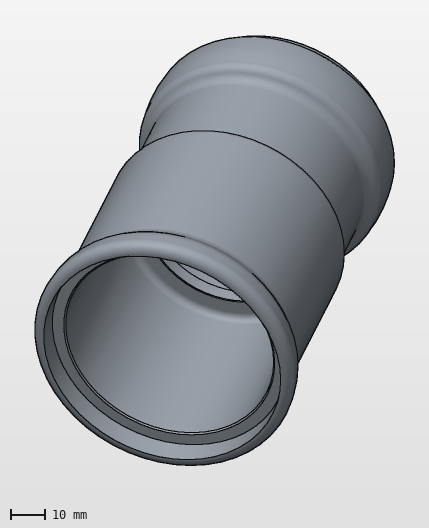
import cadquery as cq

length = 117.6

body_radius = 71.6 / 2
neck_radius = 66.1 / 2
bell_radius = 79.0 / 2
bell_edge_radius = 39.0
bell_flare_radius = 37.5
bell_face_radius = 36.5
bulge_radius = 74.5 / 2
bulge_edge_radius = 36.8
bulge_flare_radius = 35.0
collar_radius = 67.6 / 2
end_face_radius = 30.9

bell_crest = 3.2
bell_edge = 7.2
bell_flare = 10.2
body_start = 14.0
body_end = 63.3
neck_start = 68.1
neck_end = 91.3
bulge_flare = 94.7
bulge_start = 98.0
bulge_end = 110.0
bulge_shoulder = 112.3
collar_end = 114.7

mouth_radius = 72.0 / 2
mouth_bottom_radius = 35.5
mouth_depth = 6.9
socket_radius = 63.2 / 2
socket_chamfer = 0.5
socket_bottom = 64.7
socket_corner_radius = 58.8 / 2
stop_bore_radius = 50.0 / 2
stop_edge_chamfer = 0.2
stop_thickness = 4.7
narrow_socket_radius = 58.5 / 2


def outer_outline():
    """Half outline of the outside, from the axis at the mouth to the far end."""
    step_middle = ((body_radius + neck_radius) / 2, (body_end + neck_start) / 2)
    bulge_middle = (bulge_radius, (bulge_start + bulge_end) / 2)
    shoulder_radius = (bulge_edge_radius + collar_radius) / 2
    return (
        cq.Workplane("XY")
        .lineTo(bell_face_radius, 0)
        .tangentArcPoint((bell_radius, bell_crest), relative=False)
        .tangentArcPoint((bell_edge_radius, bell_edge), relative=False)
        .tangentArcPoint((bell_flare_radius, bell_flare), relative=False)
        .tangentArcPoint((body_radius, body_start), relative=False)
        .lineTo(body_radius, body_end)
        .tangentArcPoint(step_middle, relative=False)
        .tangentArcPoint((neck_radius, neck_start), relative=False)
        .lineTo(neck_radius, neck_end)
        .tangentArcPoint((bulge_flare_radius, bulge_flare), relative=False)
        .tangentArcPoint((bulge_edge_radius, bulge_start), relative=False)
        .threePointArc(bulge_middle, (bulge_edge_radius, bulge_end))
        .tangentArcPoint((shoulder_radius, bulge_shoulder), relative=False)
        .tangentArcPoint((collar_radius, collar_end), relative=False)
        .tangentArcPoint((end_face_radius, length), relative=False)
        .lineTo(0, length)
        .close()
    )


def inner_outline():
    """Half outline of the passage, from the mouth to the far end."""
    corner = socket_radius - socket_corner_radius
    stop_end = socket_bottom + stop_thickness
    return (
        cq.Workplane("XY")
        .lineTo(mouth_radius, 0)
        .lineTo(mouth_bottom_radius, mouth_depth)
        .lineTo(socket_radius + socket_chamfer, mouth_depth)
        .lineTo(socket_radius, mouth_depth + socket_chamfer)
        .lineTo(socket_radius, socket_bottom - corner)
        .tangentArcPoint((socket_corner_radius, socket_bottom), relative=False)
        .lineTo(stop_bore_radius + stop_edge_chamfer, socket_bottom)
        .lineTo(stop_bore_radius, socket_bottom + stop_edge_chamfer)
        .lineTo(stop_bore_radius, stop_end)
        .lineTo(narrow_socket_radius, stop_end)
        .lineTo(narrow_socket_radius, length)
        .lineTo(0, length)
        .close()
    )


def turn(outline):
    """Revolve a half outline fully about the Y axis."""
    return outline.revolve(360, (0, 0, 0), (0, 1, 0))


result = turn(outer_outline()).cut(turn(inner_outline()))